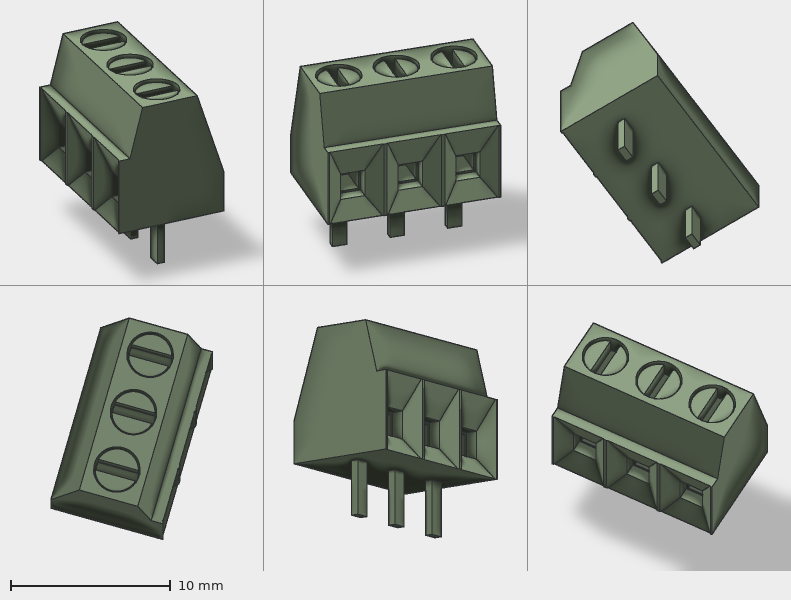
import cadquery as cq


pole_count = 3
pitch = 3.81
housing_length = pole_count * pitch
housing_depth = 7.3
housing_height = 8.5
back_y = 3.7
front_y = back_y - housing_depth
back_wall_height = 2.75
ledge_height = 5.1
ledge_depth = 0.75
top_back_y = back_y - 1.86
top_flat_depth = 3.81
top_front_y = top_back_y - top_flat_depth

entry_centre_z = 2.1
funnel_overshoot = 0.1
funnel_width = 3.6
funnel_bottom_z = -funnel_overshoot
funnel_top_z = ledge_height + funnel_overshoot
funnel_depth = 0.8
throat_width = 1.6
throat_height = 1.8
throat_depth = 0.8
clamp_width = 1.3
clamp_height = 1.5
clamp_depth = 2.0

screw_y = (top_back_y + top_front_y) / 2
screw_hole_diameter = 2.9
screw_diameter = 2.7
screw_hole_depth = 2.0
screw_recess = 0.2
slot_width = 0.7
slot_depth = 1.0

pin_width = 0.95
pin_thickness = 0.5
pin_length = 3.5

pole_positions = [(i - (pole_count - 1) / 2) * pitch for i in range(pole_count)]


def make_housing():
    """Side profile extruded along the whole row of poles."""
    profile = [
        (front_y, 0),
        (back_y, 0),
        (back_y, back_wall_height),
        (top_back_y, housing_height),
        (top_front_y, housing_height),
        (front_y + ledge_depth, ledge_height),
        (front_y, ledge_height),
    ]
    return (
        cq.Workplane("YZ")
        .polyline(profile)
        .close()
        .extrude(housing_length / 2, both=True)
    )


def entry_box(x, width, height, start_y, depth):
    """Box centred on the wire axis that runs back from start_y."""
    return (
        cq.Workplane("XY")
        .box(width, depth, height, centered=(True, False, True))
        .translate((x, start_y, entry_centre_z))
    )


def make_wire_entry(x):
    """Volume removed for one wire entry, from the front face inwards."""
    throat_y = front_y + funnel_depth
    clamp_y = throat_y + throat_depth
    funnel_height = funnel_top_z - funnel_bottom_z
    funnel_centre_z = (funnel_top_z + funnel_bottom_z) / 2
    funnel = (
        cq.Workplane("XZ", origin=(x, front_y, 0))
        .center(0, funnel_centre_z)
        .rect(funnel_width, funnel_height)
        .workplane(offset=-funnel_depth)
        .center(0, entry_centre_z - funnel_centre_z)
        .rect(throat_width, throat_height)
        .loft(ruled=True)
    )
    throat = entry_box(x, throat_width, throat_height, throat_y, throat_depth)
    clamp = entry_box(x, clamp_width, clamp_height, clamp_y, clamp_depth)
    return funnel.union(throat).union(clamp)


def make_screw_hole(x):
    """Round hole in the top face that surrounds one screw."""
    hole_floor_z = housing_height - screw_hole_depth
    return (
        cq.Workplane("XY", origin=(x, screw_y, hole_floor_z))
        .circle(screw_hole_diameter / 2)
        .extrude(screw_hole_depth)
    )


def make_screw(x):
    """Slotted screw head standing on the floor of its hole."""
    hole_floor_z = housing_height - screw_hole_depth
    head_height = screw_hole_depth - screw_recess
    head = (
        cq.Workplane("XY", origin=(x, screw_y, hole_floor_z))
        .circle(screw_diameter / 2)
        .extrude(head_height)
    )
    slot = (
        cq.Workplane("XY", origin=(x, screw_y, hole_floor_z + head_height))
        .rect(slot_width, screw_diameter)
        .extrude(-slot_depth)
    )
    return head.cut(slot)


def make_pin(x):
    """Solder pin below the housing."""
    return (
        cq.Workplane("XY", origin=(x, 0, 0))
        .rect(pin_width, pin_thickness)
        .extrude(-pin_length)
    )


result = make_housing()
for pole_x in pole_positions:
    result = result.cut(make_wire_entry(pole_x))
    result = result.cut(make_screw_hole(pole_x))
    result = result.union(make_screw(pole_x))
    result = result.union(make_pin(pole_x))